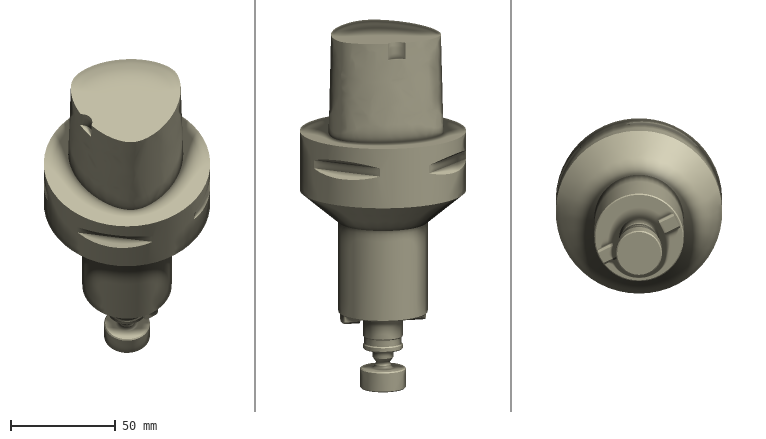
import cadquery as cq
import math

total_height = 175
flange_top = 126.7
flange_bottom = 97.5
neck_top = 82.1
neck_bottom = 37.3
pilot_bottom = 25.2
groove_bottom = 22.0
collar_bottom = 19.3
shank_bottom = 15.2
screw_groove_top = 13.7
screw_groove_bottom = 11.5
head_top = 10.0

flange_radius = 80.0 / 2
neck_radius = 43.0 / 2
pilot_radius = 19.0 / 2
pilot_groove_radius = 18.0 / 2
shank_radius = 10.0 / 2
screw_neck_radius = 7.9 / 2
screw_groove_depth = 0.5
head_radius = 22.0 / 2
head_fillet = 1.5
edge_chamfer = 0.5
collar_chamfer = 0.5

lobed_width = 55.3
lobe_height = 2.01
lobed_taper = 1 / 20
spline_points = 36

scallop_radius = 5.0
scallop_depth = 8.0
scallop_offset = 26.8

groove_count = 4
gripper_level = 115.2
gripper_floor_height = 4.0
gripper_depth = 4.4
gripper_wall_angle = 30

key_inner = 12.5
key_outer = 20.3
key_width = 7.7
key_height = 4.2
key_chamfer = 1.0


def turned_body():
    screw_waist = screw_neck_radius - screw_groove_depth
    waist_level = (screw_groove_top + screw_groove_bottom) / 2
    fillet_middle = head_fillet * (1 - math.sqrt(0.5))
    return (
        cq.Workplane("XZ")
        .moveTo(0, 0)
        .lineTo(head_radius - edge_chamfer, 0)
        .lineTo(head_radius, edge_chamfer)
        .lineTo(head_radius, head_top - edge_chamfer)
        .lineTo(head_radius - edge_chamfer, head_top)
        .lineTo(screw_neck_radius + head_fillet, head_top)
        .threePointArc(
            (screw_neck_radius + fillet_middle, head_top + fillet_middle),
            (screw_neck_radius, head_top + head_fillet),
        )
        .threePointArc((screw_waist, waist_level), (screw_neck_radius, screw_groove_top))
        .lineTo(shank_radius, shank_bottom)
        .lineTo(shank_radius, collar_bottom)
        .lineTo(pilot_radius - collar_chamfer, collar_bottom)
        .lineTo(pilot_radius, collar_bottom + collar_chamfer)
        .lineTo(pilot_radius, groove_bottom - collar_chamfer)
        .lineTo(pilot_groove_radius, groove_bottom)
        .lineTo(pilot_groove_radius, pilot_bottom)
        .lineTo(pilot_radius, pilot_bottom + edge_chamfer)
        .lineTo(pilot_radius, neck_bottom)
        .lineTo(neck_radius - edge_chamfer, neck_bottom)
        .lineTo(neck_radius, neck_bottom + edge_chamfer)
        .lineTo(neck_radius, neck_top)
        .lineTo(flange_radius, flange_bottom)
        .lineTo(flange_radius, flange_top)
        .lineTo(0, flange_top)
        .close()
        .revolve(360, (0, 0, 0), (0, 1, 0))
    )


def lobed_outline(width):
    """Points of a constant-width curve with three lobes, one towards +Y."""
    points = []
    for index in range(spline_points):
        angle = 2 * math.pi * index / spline_points
        lobe_phase = 3 * (angle - math.pi / 2)
        reach = width / 2 + lobe_height * math.cos(lobe_phase)
        slope = -3 * lobe_height * math.sin(lobe_phase)
        x = reach * math.cos(angle) - slope * math.sin(angle)
        y = reach * math.sin(angle) + slope * math.cos(angle)
        points.append((x, y))
    return points


def lobed_shank():
    height = total_height - flange_top
    top_width = lobed_width - height * lobed_taper
    shank = (
        cq.Workplane("XY", origin=(0, 0, flange_top))
        .spline(lobed_outline(lobed_width), periodic=True)
        .close()
        .workplane(offset=height)
        .spline(lobed_outline(top_width), periodic=True)
        .close()
        .loft(ruled=True)
    )
    scallop = (
        cq.Workplane("XY", origin=(0, -scallop_offset, total_height - scallop_depth))
        .circle(scallop_radius)
        .extrude(scallop_depth)
    )
    return shank.cut(scallop)


def gripper_groove(direction):
    """Straight trapezoidal groove across the flange rim, facing the given angle."""
    floor_radius = flange_radius - gripper_depth
    cutter_depth = 2 * gripper_depth
    floor_half = gripper_floor_height / 2
    mouth_half = floor_half + cutter_depth * math.tan(math.radians(gripper_wall_angle))
    return (
        cq.Workplane("XZ", origin=(0, 0, gripper_level))
        .moveTo(floor_radius, -floor_half)
        .lineTo(floor_radius + cutter_depth, -mouth_half)
        .lineTo(floor_radius + cutter_depth, mouth_half)
        .lineTo(floor_radius, floor_half)
        .close()
        .extrude(flange_radius, both=True)
        .rotate((0, 0, 0), (0, 0, 1), direction)
    )


def drive_key(side):
    """Key on the +X (side = 1) or -X (side = -1) half of the neck's lower face."""
    middle = side * (key_inner + key_outer) / 2
    return (
        cq.Workplane("XY", origin=(middle, 0, neck_bottom))
        .box(key_outer - key_inner, key_width, 2 * key_height)
        .edges("|X and <Z")
        .chamfer(key_chamfer)
    )


result = turned_body().union(lobed_shank())
for index in range(groove_count):
    result = result.cut(gripper_groove(45 + index * 360 / groove_count))
for side in (-1, 1):
    result = result.union(drive_key(side))